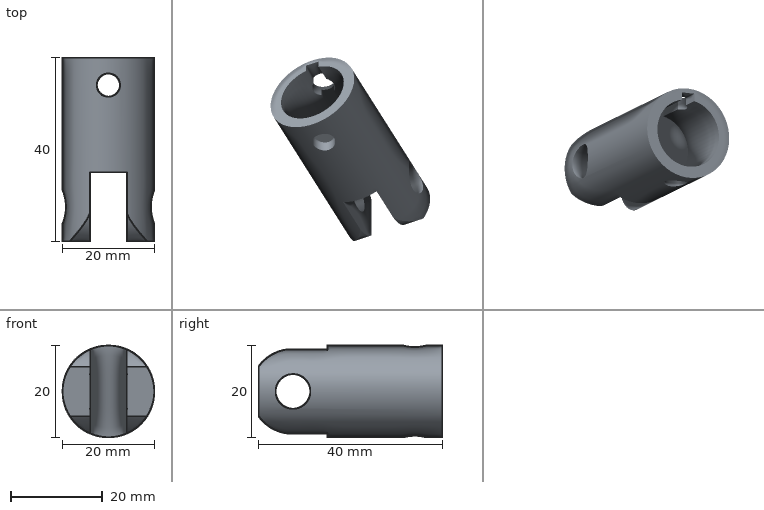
import cadquery as cq

body_diameter = 20.0
length = 40.0

slot_width = 8.0
slot_depth = 15.0
pivot_diameter = 7.5
pivot_from_tip = 7.5
nose_radius = 9.25

socket_diameter = 15.0
socket_depth = 15.0
keyway_width = 3.0
keyway_top = 9.0
pin_diameter = 5.0
pin_from_end = 6.0


def cylinder_along_y(diameter, y_start, y_length):
    start = cq.Vector(0, y_start, 0)
    return cq.Workplane(cq.Solid.makeCylinder(diameter / 2, y_length, start, cq.Vector(0, 1, 0)))


def nose_envelope():
    """Side outline of the rod: square shank with a nose rounded about the pivot."""
    nose_profile = cq.Workplane("YZ").center(pivot_from_tip, 0).circle(nose_radius)
    nose = nose_profile.extrude(body_diameter / 2, both=True)
    shank_length = length - pivot_from_tip
    shank = cq.Workplane("XY").box(body_diameter, shank_length, body_diameter)
    return nose.union(shank.translate((0, pivot_from_tip + shank_length / 2, 0)))


def fork_slot():
    slot = cq.Workplane("XY").box(slot_width, slot_depth, body_diameter)
    return slot.translate((0, slot_depth / 2, 0))


def pivot_hole():
    profile = cq.Workplane("YZ").center(pivot_from_tip, 0).circle(pivot_diameter / 2)
    return profile.extrude(body_diameter, both=True)


def pin_hole():
    profile = cq.Workplane("XY").center(0, length - pin_from_end).circle(pin_diameter / 2)
    return profile.extrude(body_diameter, both=True)


def keyed_socket():
    bore = cylinder_along_y(socket_diameter, length - socket_depth, socket_depth)
    keyway = cq.Workplane("XY").box(keyway_width, socket_depth, keyway_top)
    keyway = keyway.translate((0, length - socket_depth / 2, keyway_top / 2))
    return bore.union(keyway)


body = cylinder_along_y(body_diameter, 0, length).intersect(nose_envelope())
result = body.cut(fork_slot()).cut(pivot_hole()).cut(keyed_socket()).cut(pin_hole())